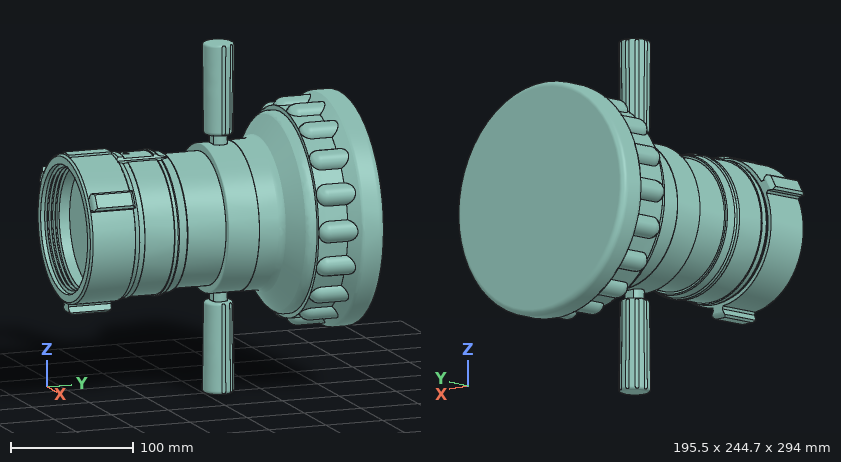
import cadquery as cq
import math


coupling_radius = 62.0
coupling_chamfer = 1.8
coupling_end = 39.0
bore_radius = 107.5 / 2
bore_depth = 24.5
thread_crest_radius = 51.2
thread_first_crest = 4.7
thread_pitch = 3.5
thread_crest_count = 3
crest_half_width = 1.2
thread_land_start = thread_first_crest + thread_crest_count * thread_pitch
raised_feature_root = 57.3
index_strip_width = 14.0
index_strip_top = 63.5

lug_count = 3
lug_first_angle = 30
lug_tip = 71.0
lug_foot = 61.8
lug_foot_half_width = 6.2
lug_stem_half_width = 5.3
lug_head_start = 64.0
lug_widest = 68.8
lug_half_width = 7.5
lug_tip_half_width = 6.0
lug_end_length = 3.0

gap_radius = 58.5
grip_start = 40.3
grip_end = 86.7
grip_end_chamfer = 1.0
grip_radius = 59.5
band_radius = 60.5
grip_end_radius = 58.2
front_band = (43.2, 48.0)
rear_band = (74.0, 77.0)
shoulder_end = 78.5
notch_floor = 56.5
notch_foot_x = 13.0
notch_top_x = 11.2
notch_top_z = 62.3
notch_end = 88.2
screw_hole_diameter = 5.0
screw_hole_depth = 3.0
screw_hole_y = 54.5

neck_radius = 111.2 / 2
sleeve_start = 121.0
sleeve_radius = 124.5 / 2
sleeve_edge = 1.2
barrel_start = 147.5
barrel_radius = 125.0 / 2

flare_start = 168.0
collar_radius = 167.5 / 2
collar_start = 183.2
collar_end = 190.0
flare_rounding = 6.5

total_length = 244.7
bumper_radius = 195.5 / 2
bumper_start = 225.5
bumper_shoulder_rounding = 3.5
bumper_rear_rounding = 5.3
ring_radius = 87.5
rib_count = 18
rib_radius = 9.5
rib_centre = 84.7
rib_dome_y = 198.8

handle_y = 135.3
handle_tip = 147.0
handle_base = 69.7
handle_tip_radius = 13.2
handle_base_radius = 12.4
handle_rounding = 3.0
stem_diameter = 16.0
stem_flats = 12.4
stem_root = 56.0
flute_count = 6
flute_spacing = 180 / (flute_count - 1)
flute_radius = 2.5
flute_depth = 0.65

position_tolerance = 0.03


def turned(outline):
    """Solid of revolution about Y from (radius, y) points."""
    return cq.Workplane("XY").polyline(outline).close().revolve(360, (0, 0, 0), (0, 1, 0))


def disc(radius, y_start, y_end):
    return turned([(0, y_start), (radius, y_start), (radius, y_end), (0, y_end)])


def round_rim(body, y, rounding):
    """Round the circular edge lying at height y."""
    rims = [edge for edge in body.edges("%CIRCLE").vals() if abs(edge.Center().y - y) < position_tolerance]
    return body.newObject(rims).fillet(rounding)


def around_y(body, angle):
    """Turn from the +X direction towards +Z."""
    return body.rotate((0, 0, 0), (0, 1, 0), -angle)


def make_coupling():
    chamfered_radius = coupling_radius - coupling_chamfer
    body = turned([
        (0, 0),
        (chamfered_radius, 0),
        (coupling_radius, coupling_chamfer),
        (coupling_radius, coupling_end),
        (0, coupling_end),
    ])
    strip_length = coupling_end - coupling_chamfer
    strip = cq.Workplane("XY").box(
        index_strip_width, strip_length, index_strip_top - raised_feature_root, centered=(True, False, False)
    ).translate((0, coupling_chamfer, raised_feature_root))
    body = body.union(strip)
    for index in range(lug_count):
        body = body.union(around_y(make_lug(), lug_first_angle + index * 360 / lug_count))
    return body


def make_lug():
    """Lug pointing along +X: a stem with a wider head whose two ends are rounded off."""
    front = coupling_chamfer
    rear = coupling_end
    half_section = [
        (lug_foot_half_width, raised_feature_root),
        (lug_foot_half_width, lug_foot),
        (lug_stem_half_width, lug_head_start),
        (lug_half_width, lug_widest),
        (lug_tip_half_width, lug_tip),
    ]
    section = [(radius, side) for side, radius in half_section]
    section += [(radius, -side) for side, radius in reversed(half_section)]
    lug = (
        cq.Workplane("XZ", origin=(0, front, 0))
        .polyline(section)
        .close()
        .extrude(front - rear)
    )
    quarter = math.sqrt(0.5)
    arc_x = lug_head_start + quarter * (lug_tip - lug_head_start)
    arc_inset = (1 - quarter) * lug_end_length
    envelope = (
        cq.Workplane("XY")
        .moveTo(raised_feature_root, front)
        .lineTo(lug_head_start, front)
        .threePointArc((arc_x, front + arc_inset), (lug_tip, front + lug_end_length))
        .lineTo(lug_tip, rear - lug_end_length)
        .threePointArc((arc_x, rear - arc_inset), (lug_head_start, rear))
        .lineTo(raised_feature_root, rear)
        .close()
        .extrude(lug_half_width, both=True)
    )
    return lug.intersect(envelope)


def make_bore():
    """Blind bore with ring-shaped thread crests and a plain land at its inner end."""
    bore = [(0, 0), (bore_radius, 0)]
    for index in range(thread_crest_count):
        crest = thread_first_crest + index * thread_pitch
        bore += [
            (bore_radius, crest - crest_half_width),
            (thread_crest_radius, crest),
            (bore_radius, crest + crest_half_width),
        ]
    bore += [
        (bore_radius, thread_land_start - crest_half_width),
        (thread_crest_radius, thread_land_start),
        (thread_crest_radius, bore_depth),
        (0, bore_depth),
    ]
    return turned(bore)


def make_grip():
    body = turned([
        (0, coupling_end),
        (gap_radius, coupling_end),
        (gap_radius, grip_start),
        (band_radius, front_band[0]),
        (band_radius, front_band[1]),
        (grip_radius, front_band[1]),
        (grip_radius, rear_band[0]),
        (band_radius, rear_band[0]),
        (band_radius, rear_band[1]),
        (grip_radius, shoulder_end),
        (grip_end_radius, grip_end - grip_end_chamfer),
        (grip_end_radius - grip_end_chamfer, grip_end),
        (0, grip_end),
    ])
    slope = (notch_foot_x - notch_top_x) / (grip_radius - notch_floor)
    notch_inner_x = notch_foot_x - slope * (notch_top_z - notch_floor)
    notch = (
        cq.Workplane("XZ", origin=(0, coupling_end, 0))
        .polyline([
            (notch_foot_x, notch_floor),
            (grip_radius, notch_floor),
            (grip_radius, notch_top_z),
            (notch_inner_x, notch_top_z),
        ])
        .close()
        .extrude(coupling_end - notch_end)
    )
    screw_hole = (
        cq.Workplane("XY", origin=(0, screw_hole_y, grip_radius - screw_hole_depth))
        .circle(screw_hole_diameter / 2)
        .extrude(2 * screw_hole_depth)
    )
    return body.cut(notch).cut(notch.mirror("YZ")).cut(screw_hole)


def make_barrel():
    neck = disc(neck_radius, grip_end, sleeve_start)
    sleeve = round_rim(disc(sleeve_radius, sleeve_start, barrel_start), sleeve_start, sleeve_edge)
    flare = turned([
        (0, barrel_start),
        (barrel_radius, barrel_start),
        (barrel_radius, flare_start),
        (collar_radius, collar_start),
        (collar_radius, collar_end),
        (0, collar_end),
    ])
    flare = round_rim(flare, flare_start, flare_rounding)
    flare = round_rim(flare, collar_start, flare_rounding)
    return neck.union(sleeve).union(flare)


def make_bumper():
    cone_start = bumper_start - (bumper_radius - ring_radius)
    body = turned([
        (0, collar_end),
        (ring_radius, collar_end),
        (ring_radius, cone_start),
        (bumper_radius, bumper_start),
        (bumper_radius, total_length),
        (0, total_length),
    ])
    body = round_rim(body, bumper_start, bumper_shoulder_rounding)
    body = round_rim(body, total_length, bumper_rear_rounding)
    rib = (
        cq.Workplane("XZ", origin=(rib_centre, rib_dome_y, 0))
        .circle(rib_radius)
        .extrude(rib_dome_y - bumper_start)
    )
    dome = cq.Workplane("XY", origin=(rib_centre, rib_dome_y, 0)).sphere(rib_radius)
    rib = rib.union(dome).intersect(disc(bumper_radius, collar_end, total_length))
    for index in range(rib_count):
        body = body.union(around_y(rib, index * 360 / rib_count))
    return body


def make_handle():
    """Tapered handle along +Z, fluted on its +Y half, on a round stem with two flats."""
    grip = (
        cq.Workplane("XZ")
        .polyline([
            (0, handle_base),
            (handle_base_radius, handle_base),
            (handle_tip_radius, handle_tip),
            (0, handle_tip),
        ])
        .close()
        .revolve(360, (0, 0, 0), (0, 1, 0))
        .edges("%CIRCLE")
        .fillet(handle_rounding)
    )
    flute_offset = flute_radius - flute_depth
    flute = cq.Workplane(cq.Solid.makeCylinder(
        flute_radius,
        handle_tip - handle_base,
        cq.Vector(handle_base_radius + flute_offset, 0, handle_base),
        cq.Vector(handle_tip_radius - handle_base_radius, 0, handle_tip - handle_base),
    ))
    for index in range(flute_count):
        grip = grip.cut(flute.rotate((0, 0, 0), (0, 0, 1), index * flute_spacing))
    stem_length = handle_base + handle_rounding - stem_root
    stem = cq.Workplane("XY").circle(stem_diameter / 2).extrude(stem_length)
    flats = cq.Workplane("XY").box(stem_diameter, stem_flats, stem_length, centered=(True, True, False))
    stem = stem.intersect(flats).translate((0, 0, stem_root))
    return grip.union(stem).translate((0, handle_y, 0))


handle = make_handle()
result = (
    make_barrel()
    .union(make_grip())
    .union(make_coupling())
    .union(make_bumper())
    .union(handle)
    .union(handle.mirror("XY"))
    .cut(make_bore())
)